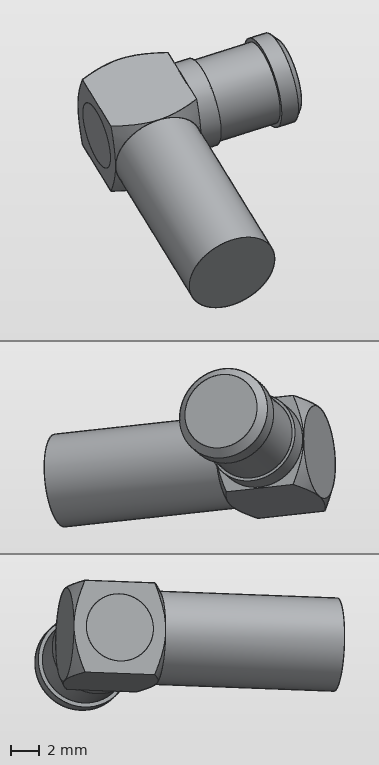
import cadquery as cq
import math


total_length = 19.2
total_depth = 14.4

block_side = 6.5
block_half = block_side / 2
end_face_diameter = 6.49
corner_cone_angle = 30.0

cap_diameter = 4.76
cap_thickness = 0.77

ferrule_diameter = block_side
ferrule_length = total_length - block_side

collar_diameter = 6.35
collar_length = 1.55
neck_diameter = 5.93
ring_diameter = block_side
ring_length = 1.27
tip_diameter = 5.34
tip_length = 0.5
barrel_length = total_depth - block_side


def make_cap():
    """Round disc lying flush with the -Y face of the block."""
    return (
        cq.Workplane("XZ", origin=(0, -block_half, 0))
        .circle(cap_diameter / 2)
        .extrude(-cap_thickness)
    )


def make_corner_envelope():
    """Solid of revolution about X whose conical ends trim the block corners."""
    face_radius = end_face_diameter / 2
    corner_radius = block_half * math.sqrt(2)
    cone_length = (corner_radius - face_radius) * math.tan(math.radians(corner_cone_angle))
    shoulder_x = block_half - cone_length
    return (
        cq.Workplane("XY")
        .moveTo(-block_half, 0)
        .lineTo(-block_half, face_radius)
        .lineTo(-shoulder_x, corner_radius)
        .lineTo(shoulder_x, corner_radius)
        .lineTo(block_half, face_radius)
        .lineTo(block_half, 0)
        .close()
        .revolve(360, (0, 0, 0), (1, 0, 0))
    )


def make_block(cap):
    """Cube with cone-trimmed X ends and a recess that holds the cap."""
    cube = cq.Workplane("XY").box(block_side, block_side, block_side)
    return cube.intersect(make_corner_envelope()).cut(cap)


def make_ferrule():
    """Cylinder standing on the +X face of the block."""
    return (
        cq.Workplane("YZ", origin=(block_half, 0, 0))
        .circle(ferrule_diameter / 2)
        .extrude(ferrule_length)
    )


def make_barrel():
    """Stepped barrel on the +Y face: collar, neck, ring and tapered tip."""
    collar_end = block_half + collar_length
    barrel_end = block_half + barrel_length
    ring_end = barrel_end - tip_length
    ring_start = ring_end - ring_length
    return (
        cq.Workplane("XY")
        .moveTo(0, block_half)
        .lineTo(collar_diameter / 2, block_half)
        .lineTo(collar_diameter / 2, collar_end)
        .lineTo(neck_diameter / 2, collar_end)
        .lineTo(neck_diameter / 2, ring_start)
        .lineTo(ring_diameter / 2, ring_start)
        .lineTo(ring_diameter / 2, ring_end)
        .lineTo(tip_diameter / 2, barrel_end)
        .lineTo(0, barrel_end)
        .close()
        .revolve(360, (0, 0, 0), (0, 1, 0))
    )


cap = make_cap()
block = make_block(cap)
ferrule = make_ferrule()
barrel = make_barrel()

result = cq.Compound.makeCompound([block.solids().val(), cap.val(), ferrule.val(), barrel.val()])